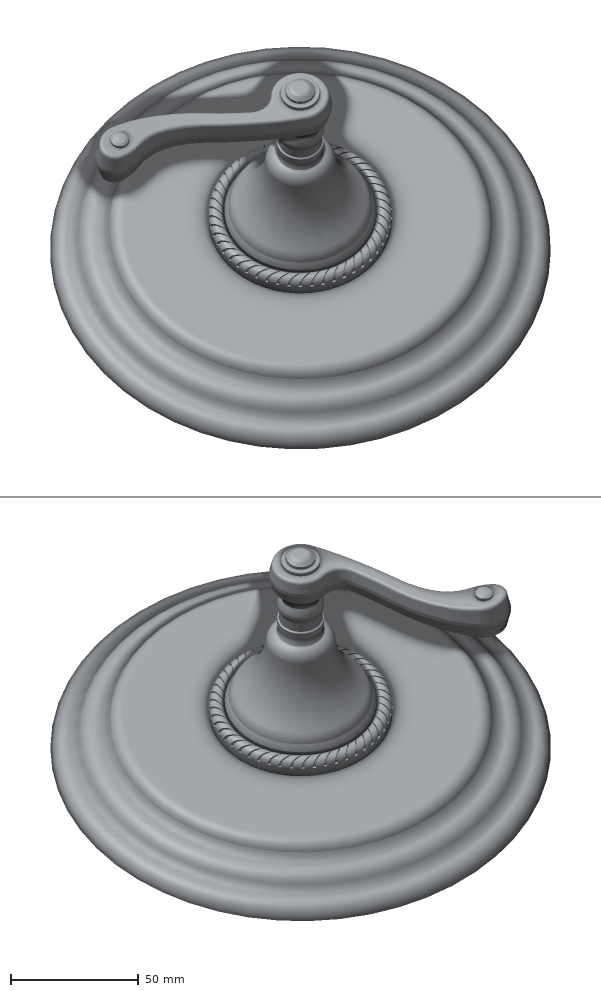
import cadquery as cq
import math

total_height = 105.5

plate_radius = 98.5
plate_top_radius = 69.9
plate_height = 19.0

rope_centre_radius = 32.9
rope_tube_radius = 3.1
rope_core_radius = 2.4
rope_height = 23.2
strand_count = 50
strand_width = 2.5
strand_angle = 40.0
first_strand_position = 3.0

bell_foot_radius = 30.0
bell_foot_height = 26.4
bell_shoulder_radius = 13.8
bell_shoulder_height = 58.5
neck_base_height = 64.0
neck_ring_radius = 9.3
neck_waist_radius = 8.0
neck_collar_radius = 8.7

lever_mid_height = 94.7
hub_radius = 12.4
hub_start_angle = -4.5
hub_end_angle = 250.0
hub_half_thickness = 6.1
tip_half_thickness = 9.3
lever_band = 1.8
lever_taper = 12.0
lever_edge_fillet = 1.4
flare_start_y = -41.3
lever_tip_y = -85.0

button_y = -75.0
button_radius = 3.5
button_crown_radius = 2.5
button_half_height = 10.5
button_rim_drop = 1.0
button_crown_drop = 0.4

cap_radius = 7.7
cap_step_radius = 5.7
cap_crown_radius = 4.1
cap_top_radius = 3.1
cap_rim_height = 102.5
cap_rim_chamfer = 0.2
cap_step_height = 104.0
cap_crown_height = 105.1

hub_top = lever_mid_height + hub_half_thickness
hub_bottom = lever_mid_height - hub_half_thickness


def revolve_about_z(profile):
    """Turn a closed radius/height profile about the Z axis."""
    return profile.close().revolve(360, (0, 0, 0), (0, 1, 0))


def make_plate():
    """Stepped disc whose rim rolls down through three rounded steps."""
    profile = (
        cq.Workplane("XZ")
        .lineTo(plate_radius, 0)
        .threePointArc((96.7, 4.3), (92.0, 6.3))
        .threePointArc((88.8, 7.3), (86.6, 9.5))
        .threePointArc((84.5, 11.5), (81.1, 12.4))
        .threePointArc((77.5, 13.4), (75.4, 15.4))
        .threePointArc((73.2, 18.1), (plate_top_radius, plate_height))
        .lineTo(0, plate_height)
    )
    return revolve_about_z(profile)


def rope_ring(tube_radius):
    """Torus centred on the rope line."""
    return (
        cq.Workplane("XZ")
        .center(rope_centre_radius, rope_height)
        .circle(tube_radius)
        .revolve(360, (-rope_centre_radius, 0, 0), (-rope_centre_radius, 1, 0))
    )


def make_rope_collar():
    """Plain ring carrying a rope of slanted strands."""
    ring = cq.Workplane().circle(rope_centre_radius + rope_tube_radius).extrude(rope_height)
    strand_length = 4 * rope_tube_radius
    strand = (
        cq.Workplane()
        .box(strand_length, strand_width, rope_tube_radius, centered=(True, True, False))
        .rotate((0, 0, 0), (0, 0, 1), -strand_angle)
        .translate((rope_centre_radius, 0, rope_height))
    )
    strand_pitch = 360 / strand_count
    slabs = [
        strand.rotate((0, 0, 0), (0, 0, 1), first_strand_position + index * strand_pitch).val()
        for index in range(strand_count)
    ]
    strands = rope_ring(rope_tube_radius).intersect(cq.Workplane(cq.Compound.makeCompound(slabs)))
    return ring.union(rope_ring(rope_core_radius)).union(strands)


def make_bell_and_neck():
    """Bell-shaped escutcheon with the grooved neck that carries the lever."""
    profile = (
        cq.Workplane("XZ")
        .moveTo(0, 0)
        .lineTo(bell_foot_radius, 0)
        .lineTo(bell_foot_radius, bell_foot_height)
        .threePointArc((29.1, 28.0), (28.3, 29.1))
        .threePointArc((27.5, 31.1), (26.4, 32.7))
        .threePointArc((17.0, 45.7), (bell_shoulder_radius, bell_shoulder_height))
        .threePointArc((12.2, 62.2), (neck_ring_radius, neck_base_height))
        .threePointArc((8.3, 66.0), (neck_waist_radius, 67.7))
        .lineTo(neck_ring_radius, 68.1)
        .lineTo(neck_ring_radius, 71.0)
        .lineTo(8.7, 71.5)
        .lineTo(8.5, 75.5)
        .threePointArc((8.7, 77.0), (neck_ring_radius, 78.1))
        .lineTo(neck_ring_radius, 79.5)
        .threePointArc((8.7, 81.7), (7.9, 83.0))
        .lineTo(neck_waist_radius, 84.5)
        .lineTo(neck_collar_radius, 86.2)
        .lineTo(neck_collar_radius, hub_bottom)
        .lineTo(0, hub_bottom)
    )
    return revolve_about_z(profile)


def hub_point(degrees):
    """Point on the rim of the lever hub."""
    angle = math.radians(degrees)
    return hub_radius * math.cos(angle), hub_radius * math.sin(angle)


def lever_outline():
    """Plan outline of the lever: round hub, slim S-shaped arm and swollen tip."""
    flowing_points = [
        (0.4, -20.5),
        (-5.3, -38.4),
        (-10.5, -64.0),
        (-9.5, -75.5),
        (0.5, lever_tip_y),
        (8.9, -76.0),
        (4.7, -67.3),
        (0.5, -55.3),
        (3.0, -40.4),
        (9.3, -18.3),
        hub_point(hub_start_angle),
    ]
    outline = (
        cq.Workplane(origin=(0, 0, lever_mid_height))
        .moveTo(*hub_point(hub_start_angle))
        .threePointArc(hub_point(90), hub_point(hub_end_angle))
    )
    for point in flowing_points:
        outline = outline.tangentArcPoint(point, relative=False)
    return outline.close()


def make_lever():
    """Barrel-sided lever that grows thicker towards its tip."""
    half_band = lever_band / 2
    draft_height = tip_half_thickness + 2
    drafted = lever_outline().extrude(draft_height, taper=lever_taper).translate((0, 0, half_band))
    upper = drafted.union(lever_outline().extrude(half_band))

    thickness_limit = (
        cq.Workplane("YZ", origin=(-2 * hub_radius, 0, 0))
        .moveTo(2 * hub_radius, lever_mid_height)
        .lineTo(2 * hub_radius, hub_top)
        .lineTo(flare_start_y, hub_top)
        .tangentArcPoint((lever_tip_y, lever_mid_height + tip_half_thickness), relative=False)
        .lineTo(lever_tip_y, lever_mid_height)
        .close()
        .extrude(4 * hub_radius)
    )
    upper = upper.intersect(thickness_limit)
    lowest_rim = hub_top - lever_edge_fillet / 10
    rim_edges = [
        edge
        for edge in upper.edges("not %LINE").vals()
        if min(edge.startPoint().z, edge.endPoint().z) > lowest_rim
    ]
    upper = upper.newObject(rim_edges).fillet(lever_edge_fillet)
    return upper.union(upper.mirror("XY", (0, 0, lever_mid_height)))


def make_buttons():
    """Domed button standing out of both faces of the lever tip."""
    rim = button_half_height - button_rim_drop
    crown = button_half_height - button_crown_drop
    profile = (
        cq.Workplane("XZ")
        .moveTo(0, -button_half_height)
        .lineTo(button_crown_radius, -crown)
        .lineTo(button_radius, -rim)
        .lineTo(button_radius, rim)
        .lineTo(button_crown_radius, crown)
        .lineTo(0, button_half_height)
    )
    return revolve_about_z(profile).translate((0, button_y, lever_mid_height))


def make_cap():
    """Stepped cap screwed on top of the hub."""
    profile = (
        cq.Workplane("XZ")
        .moveTo(0, hub_bottom)
        .lineTo(cap_radius, hub_bottom)
        .lineTo(cap_radius, cap_rim_height - cap_rim_chamfer)
        .lineTo(cap_radius - cap_rim_chamfer, cap_rim_height)
        .lineTo(cap_step_radius, cap_rim_height)
        .lineTo(cap_step_radius, cap_step_height)
        .lineTo(cap_crown_radius, cap_crown_height)
        .lineTo(cap_top_radius, total_height)
        .lineTo(0, total_height)
    )
    return revolve_about_z(profile)


result = (
    make_plate()
    .union(make_rope_collar())
    .union(make_bell_and_neck())
    .union(make_lever())
    .union(make_buttons())
    .union(make_cap())
)